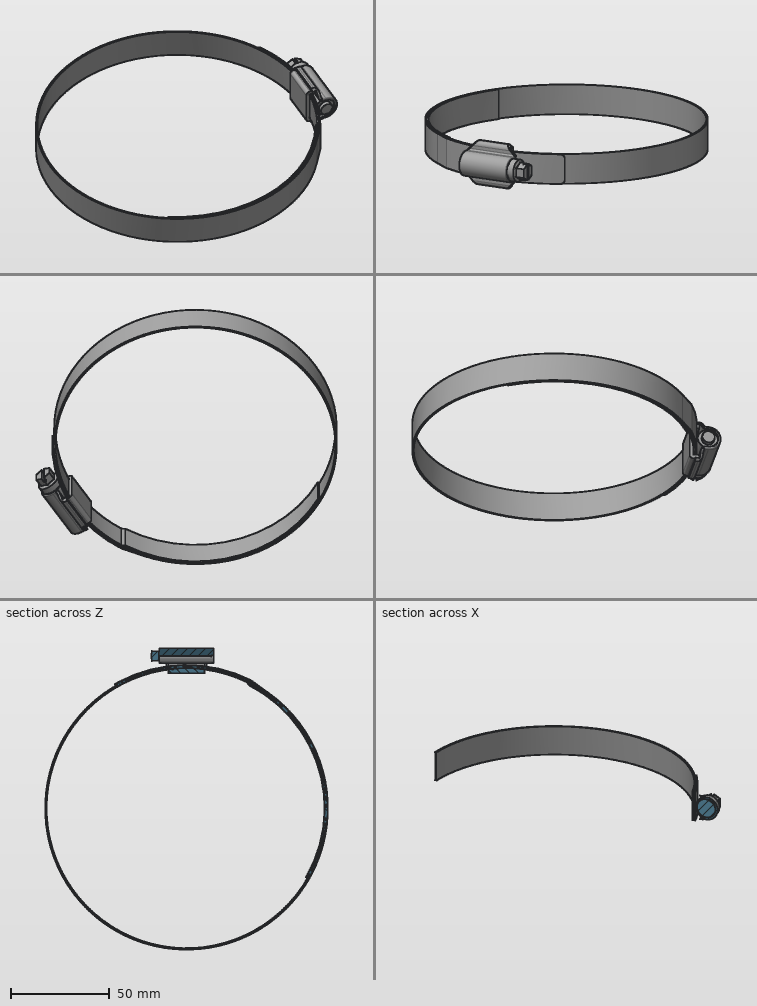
import cadquery as cq
import math


overall_length = 155.4

band_width = 15.5
band_thickness = 0.85
band_diameter = 143.5
band_radius = band_diameter / 2
layer_gap = 0.08
layer_pitch = band_thickness + layer_gap
tongue_start = -30.0
tongue_end = 63.0
inner_step_end = 64.5
main_end = 360.0 + 54.5
tail_start = 360.0 + 63.5
tail_end = 360.0 + 120.0
tail_corner_radius = 2.5

worm_radius = 5.1
worm_end = 12.6
tip_radius = 3.3
tip_end = 14.9
collar_radius = 5.7
collar_length = 4.7
collar_cone_length = 1.0
collar_cone_depth = 1.9
hex_flats = 8.0
hex_length = 4.4
slot_width = 1.4
slot_depth = 2.3

housing_length = 27.8
housing_half_length = housing_length / 2
housing_radius = 6.5
screw_y = overall_length - band_radius - housing_radius
sheet = housing_radius - worm_radius
wing_top = 74.9
wing_bottom = 71.3
wing_half_width = 11.5
wing_half_length = 8.9
wing_root_round = 1.0
bend_outside = wing_root_round + sheet
housing_end_round = 0.5

saddle_half_length = 9.2
saddle_bottom = 68.4
saddle_round = 2.0
saddle_top = wing_top - sheet
saddle_half_width = wing_half_width - sheet


def polar(radius, degrees):
    """Point at the given radius and angle about the band axis."""
    angle = math.radians(degrees)
    return (radius * math.cos(angle), radius * math.sin(angle))


def box(x_range, y_range, z_half):
    """Block between two X and two Y values, symmetric about Z = 0."""
    length = x_range[1] - x_range[0]
    height = y_range[1] - y_range[0]
    return (
        cq.Workplane("XY")
        .box(length, height, 2 * z_half, centered=(False, False, True))
        .translate((x_range[0], y_range[0], 0))
    )


def rod(radius, x_start, x_end):
    """Cylinder on the screw axis."""
    return (
        cq.Workplane("YZ", origin=(x_start, screw_y, 0))
        .circle(radius)
        .extrude(x_end - x_start)
    )


def make_screw():
    collar_start = -housing_half_length - collar_length
    head_start = collar_start - hex_length
    cone_end = collar_start + collar_cone_length
    cone = (
        cq.Workplane("YZ", origin=(collar_start, screw_y, 0))
        .circle(collar_radius - collar_cone_depth)
        .workplane(offset=collar_cone_length)
        .circle(collar_radius)
        .loft()
    )
    collar = rod(collar_radius, cone_end, -housing_half_length).union(cone)
    head = (
        cq.Workplane("YZ", origin=(head_start, screw_y, 0))
        .polygon(6, hex_flats / math.cos(math.pi / 6))
        .extrude(hex_length + collar_cone_length)
        .rotate((0, screw_y, 0), (1, screw_y, 0), 90)
    )
    slot_sides = (screw_y - slot_width / 2, screw_y + slot_width / 2)
    slot = box((head_start, head_start + slot_depth), slot_sides, hex_flats)
    worm = rod(worm_radius, -housing_half_length, worm_end)
    tip = rod(tip_radius, worm_end, tip_end)
    return head.cut(slot).union(collar).union(worm).union(tip)


def make_band():
    main_in = band_radius - band_thickness
    arcs = [
        (main_in - layer_pitch, tongue_start, tongue_end),
        (main_in, inner_step_end, main_end),
        (main_in + layer_pitch, tail_start, tail_end),
    ]
    runs = list(arcs)
    for radius, start, end in reversed(arcs):
        runs.append((radius + band_thickness, end, start))

    first_radius, first_angle, _ = runs[0]
    outline = cq.Workplane("XY").moveTo(*polar(first_radius, first_angle))
    for number, (radius, start, end) in enumerate(runs):
        if number > 0:
            outline = outline.lineTo(*polar(radius, start))
        outline = outline.threePointArc(polar(radius, (start + end) / 2), polar(radius, end))
    strip = outline.close().extrude(band_width / 2, both=True)

    tail_mid = polar(main_in + layer_pitch + band_thickness / 2, tail_end)
    for z in (-band_width / 2, band_width / 2):
        corner = cq.selectors.NearestToPointSelector((*tail_mid, z))
        strip = strip.edges(corner).fillet(tail_corner_radius)

    return strip.cut(rod(worm_radius, -housing_half_length, worm_end))


def make_housing():
    ends = (-housing_half_length, housing_half_length)
    shell = rod(housing_radius, *ends).union(box(ends, (wing_top, screw_y), housing_radius))
    wings = box(ends, (wing_bottom, wing_top), wing_half_width).edges("|X and >Y").fillet(bend_outside)
    shell = shell.union(wings)
    for z in (-housing_radius, housing_radius):
        root = cq.selectors.NearestToPointSelector((0, wing_top, z))
        shell = shell.edges(root).fillet(wing_root_round)

    taper = [
        (housing_half_length, -housing_radius),
        (housing_half_length, housing_radius),
        (wing_half_length, wing_half_width),
        (-wing_half_length, wing_half_width),
        (-housing_half_length, housing_radius),
        (-housing_half_length, -housing_radius),
        (-wing_half_length, -wing_half_width),
        (wing_half_length, -wing_half_width),
    ]
    plan = cq.Workplane("XZ").polyline(taper).close().extrude(-(screw_y + housing_radius))
    shell = shell.intersect(plan)
    shell = shell.edges("%CIRCLE and >Y").fillet(housing_end_round)

    throat = box(ends, (saddle_bottom, screw_y), worm_radius)
    room = box(ends, (saddle_bottom, saddle_top), saddle_half_width)
    shell = shell.cut(rod(worm_radius, *ends)).cut(throat).cut(room)

    for z in (-worm_radius, worm_radius):
        bend = cq.selectors.NearestToPointSelector((0, saddle_top, z))
        shell = shell.edges(bend).fillet(bend_outside)
    return shell


def make_saddle():
    ends = (-saddle_half_length, saddle_half_length)
    heights = (saddle_bottom, saddle_top)
    strap = box(ends, heights, saddle_half_width).edges("|X and <Y").fillet(saddle_round)
    band_inside = cq.Workplane("XY").circle(band_radius - band_thickness).extrude(band_width / 2, both=True)
    channel = box(ends, heights, band_width / 2).cut(band_inside)
    return strap.cut(channel)


screw = make_screw()
band = make_band()
housing = make_housing()
saddle = make_saddle()

result = cq.Compound.makeCompound([body.solids().val() for body in (screw, band, housing, saddle)])